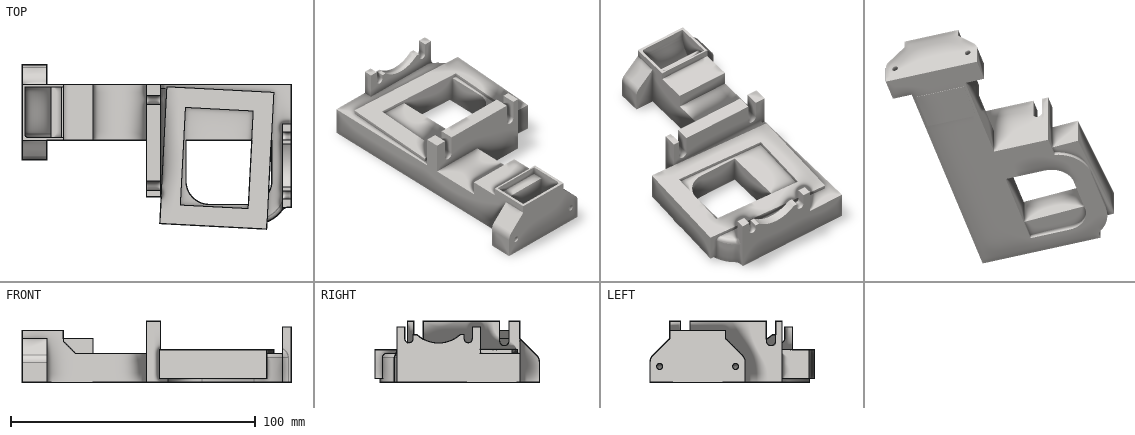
import cadquery as cq
import math

LENGTH = 110.0
BEAM_W = 22.9
BEAM_H = 11.9
EDGE_R = 1.8
BEAM_BACK = BEAM_W / 2
BEAM_FRONT = -BEAM_W / 2

PLATE_T = 10.1
PLATE_HALF_W = 19.5
SHOULDER_Z = 17.9
SHOULDER_R = 4.2
SCREW_D = 2.4
SCREW_Y = 15.5
SCREW_Z = 6.5
SCREW_DEPTH = 6.6
SCREW_TIP_ANGLE = 118.0

BOX_L = 16.8
BOX_TOP = 21.2
BOX_WALL = 1.1
BOX_END_WALL = 0.7
CAVITY_FLOOR = 6.6
CAVITY_SWEEP_R = 10.7
CAVITY_SIDE_R = 1.4

BLOCK_X0 = 11.9
BLOCK_X1 = 29.0
BLOCK_BOTTOM = -0.1
GUSSET = 5.0

BRIDGE_X0 = 50.7
BRIDGE_X1 = 56.5
BRIDGE_FRONT = -34.5
BRIDGE_TOP = 25.0
BRIDGE_SLOT_W = 3.7
BRIDGE_SLOT_BOTTOM = 15.0
BRIDGE_SLOT_YS = (5.1, -30.0)

RING_X0 = 59.3
RING_X1 = 109.1
RING_FRONT = -45.8
RING_BACK = 10.8
RING_R = 14.3
OPENING_X0 = 67.0
OPENING_X1 = 102.0
OPENING_FRONT = -37.6
OPENING_R = 9.5

BRACKET_X0 = 106.4
BRACKET_TOP = 22.7
BRACKET_Y = -21.8
BRACKET_W = 34.1
BRACKET_FRONT = BRACKET_Y - BRACKET_W / 2
BRACKET_SLOT_W = 3.3
BRACKET_SLOT_OFFSET = 12.1
BRACKET_SLOT_BOTTOM = 16.2
RIDGE_Z = 19.5
SADDLE_HALF_W = 8.8
SADDLE_BOTTOM = 16.1
ROOT_R = 3.2
JOINT_MARGIN = 0.1

FRAME_W = 43.8
FRAME_L = 56.0
FRAME_WALL = 8.0
FRAME_X = 79.5
FRAME_Y = -18.7
FRAME_Z0 = 1.5
FRAME_H = BEAM_H
FRAME_ANGLE = -3.0


def box(x0, x1, y0, y1, z0, z1):
    """Rectangular block between opposite limits."""
    return cq.Workplane("XY").box(x1 - x0, y1 - y0, z1 - z0, centered=False).translate((x0, y0, z0))


def slot_cutter(x0, x1, y, width, bottom, top):
    """Slot along X, open at the top, with a half-round bottom."""
    radius = width / 2
    return (
        cq.Workplane("YZ", origin=(x0, y, 0))
        .moveTo(-radius, top)
        .lineTo(-radius, bottom + radius)
        .threePointArc((0, bottom), (radius, bottom + radius))
        .lineTo(radius, top)
        .close()
        .extrude(x1 - x0)
    )


def screw_holes():
    """Two blind holes with drill-point ends, entering the plate along +X."""
    radius = SCREW_D / 2
    tip = radius / math.tan(math.radians(SCREW_TIP_ANGLE / 2))
    profile = (
        cq.Workplane("XY")
        .polyline([(0, 0), (0, radius), (SCREW_DEPTH, radius), (SCREW_DEPTH + tip, 0)])
        .close()
        .revolve(360, (0, 0), (1, 0))
    )
    holes = cq.Workplane("XY")
    for side in (-1, 1):
        holes = holes.add(profile.translate((0, side * SCREW_Y, SCREW_Z)))
    return holes.combine()


def end_plate():
    """Plate whose upper corners slope at 45 degrees up to the box."""
    slope = PLATE_HALF_W - BEAM_BACK
    corner_z = SHOULDER_Z - slope
    plate = (
        cq.Workplane("YZ")
        .polyline([
            (-PLATE_HALF_W, 0),
            (PLATE_HALF_W, 0),
            (PLATE_HALF_W, corner_z),
            (BEAM_BACK, SHOULDER_Z),
            (BEAM_FRONT, SHOULDER_Z),
            (-PLATE_HALF_W, corner_z),
        ])
        .close()
        .extrude(PLATE_T)
    )
    for side in (-1, 1):
        corner = cq.selectors.NearestToPointSelector((PLATE_T / 2, side * PLATE_HALF_W, corner_z))
        plate = plate.edges(corner).fillet(SHOULDER_R)
    return plate.cut(screw_holes())


def box_cavity():
    """Cavity with a floor swept up to the outer wall and a rounded front side."""
    cavity = box(
        BOX_WALL, BOX_L - BOX_END_WALL,
        BEAM_FRONT + BOX_WALL, BEAM_BACK - BOX_WALL,
        CAVITY_FLOOR, BOX_TOP,
    )
    cavity = cavity.edges("<X and <Z").fillet(CAVITY_SWEEP_R)
    front_edges = cavity.faces("<Y").edges("not(>X or >Z)")
    return front_edges.fillet(CAVITY_SIDE_R)


def beam():
    """Beam from the box to the far end, with a 45-degree gusset under the box wall."""
    bar = box(BOX_L, LENGTH, BEAM_FRONT, BEAM_BACK, 0, BEAM_H)
    gusset = (
        cq.Workplane("XZ", origin=(BOX_L, BEAM_BACK, BEAM_H))
        .polyline([(0, 0), (GUSSET, 0), (0, GUSSET)])
        .close()
        .extrude(BEAM_W)
    )
    return bar.union(gusset)


def bridge():
    """Slotted upright with a concave rounding where its +X face meets the foot."""
    upright = box(BRIDGE_X0, BRIDGE_X1, BRIDGE_FRONT, BEAM_BACK, 0, BRIDGE_TOP)
    for y in BRIDGE_SLOT_YS:
        upright = upright.cut(
            slot_cutter(BRIDGE_X0, BRIDGE_X1, y, BRIDGE_SLOT_W, BRIDGE_SLOT_BOTTOM, BRIDGE_TOP)
        )
    foot = box(BRIDGE_X1, OPENING_X0, BRIDGE_FRONT, BEAM_FRONT, 0, BEAM_H)
    middle = EDGE_R * (1 - math.sqrt(0.5))
    rounding = (
        cq.Workplane("XZ", origin=(BRIDGE_X1, BEAM_BACK - EDGE_R, BEAM_H))
        .moveTo(0, 0)
        .lineTo(EDGE_R, 0)
        .threePointArc((middle, middle), (0, EDGE_R))
        .close()
        .extrude(BEAM_BACK - EDGE_R - BRIDGE_FRONT)
    )
    return upright.union(foot).union(rounding)


def ring_outline(height):
    """Rounded rectangle of the ring, without its opening and with a rounded rim."""
    outline = box(RING_X0, RING_X1, RING_FRONT, RING_BACK, 0, height).edges("|Z").fillet(RING_R)
    return outline.faces(">Z").edges().fillet(EDGE_R)


def ring_opening():
    """Opening of the ring, running up to the front face of the beam."""
    opening = box(OPENING_X0, OPENING_X1, OPENING_FRONT, BEAM_FRONT, 0, BEAM_H)
    return opening.edges("|Z and <Y").fillet(OPENING_R)


def bracket():
    """End bracket with a round saddle between two slots."""
    upright = box(
        BRACKET_X0, LENGTH, BRACKET_FRONT, BRACKET_FRONT + BRACKET_W, 0, BRACKET_TOP
    )
    saddle = (
        cq.Workplane("YZ", origin=(BRACKET_X0, BRACKET_Y, 0))
        .moveTo(-BRACKET_SLOT_OFFSET, BRACKET_TOP)
        .lineTo(-BRACKET_SLOT_OFFSET, RIDGE_Z)
        .lineTo(-SADDLE_HALF_W, RIDGE_Z)
        .threePointArc((0, SADDLE_BOTTOM), (SADDLE_HALF_W, RIDGE_Z))
        .lineTo(BRACKET_SLOT_OFFSET, RIDGE_Z)
        .lineTo(BRACKET_SLOT_OFFSET, BRACKET_TOP)
        .close()
        .extrude(LENGTH - BRACKET_X0)
    )
    upright = upright.cut(saddle)
    for side in (-1, 1):
        y = BRACKET_Y + side * BRACKET_SLOT_OFFSET
        upright = upright.cut(
            slot_cutter(BRACKET_X0, LENGTH, y, BRACKET_SLOT_W, BRACKET_SLOT_BOTTOM, BRACKET_TOP)
        )
    return upright


def bracket_root():
    """Concave rounding between the ring corner and the front face of the bracket."""
    wide_upright = box(OPENING_X0, LENGTH + ROOT_R, BRACKET_FRONT, RING_BACK, 0, BRACKET_TOP)
    joined = wide_upright.union(ring_outline(BEAM_H))
    joint_zone = cq.selectors.BoxSelector(
        (OPENING_X1, BRACKET_FRONT - JOINT_MARGIN, JOINT_MARGIN),
        (LENGTH, BRACKET_FRONT + JOINT_MARGIN, BEAM_H + JOINT_MARGIN),
    )
    rounded = joined.edges(joint_zone).fillet(ROOT_R)
    return rounded.intersect(box(BRACKET_X0, LENGTH, RING_FRONT, BRACKET_FRONT, 0, BRACKET_TOP))


def make_frame():
    """Rectangular frame turned about Z, let into the beam and ring."""
    return (
        cq.Workplane("XY")
        .rect(FRAME_W, FRAME_L)
        .rect(FRAME_W - 2 * FRAME_WALL, FRAME_L - 2 * FRAME_WALL)
        .extrude(FRAME_H)
        .rotate((0, 0, 0), (0, 0, 1), FRAME_ANGLE)
        .translate((FRAME_X, FRAME_Y, FRAME_Z0))
    )


def make_block():
    """Block standing in a pocket of the box and beam, with a full-width head over the gusset."""
    half_w = BEAM_W / 2 - BOX_WALL
    core = box(BLOCK_X0, BLOCK_X1, -half_w, half_w, BLOCK_BOTTOM, SHOULDER_Z)
    head = (
        cq.Workplane("XZ", origin=(0, BEAM_BACK, 0))
        .polyline([
            (BOX_L, SHOULDER_Z),
            (BOX_L, BEAM_H + GUSSET),
            (BOX_L + GUSSET, BEAM_H),
            (BLOCK_X1, BEAM_H),
            (BLOCK_X1, SHOULDER_Z),
        ])
        .close()
        .extrude(BEAM_W)
    )
    return core.union(head)


def make_holder(block, frame):
    """Plate, box, beam, bridge, ring and bracket, recessed for the block and the frame."""
    box_walls = box(0, BOX_L, BEAM_FRONT, BEAM_BACK, 0, BOX_TOP)
    holder = end_plate().union(box_walls).cut(box_cavity())
    ring = ring_outline(BEAM_H).cut(ring_opening())
    for section in (beam(), bridge(), ring, bracket(), bracket_root()):
        holder = holder.union(section)
    return holder.cut(block).cut(frame)


frame = make_frame()
block = make_block()
holder = make_holder(block, frame)

result = cq.Compound.makeCompound([holder.val(), block.val(), frame.val()])